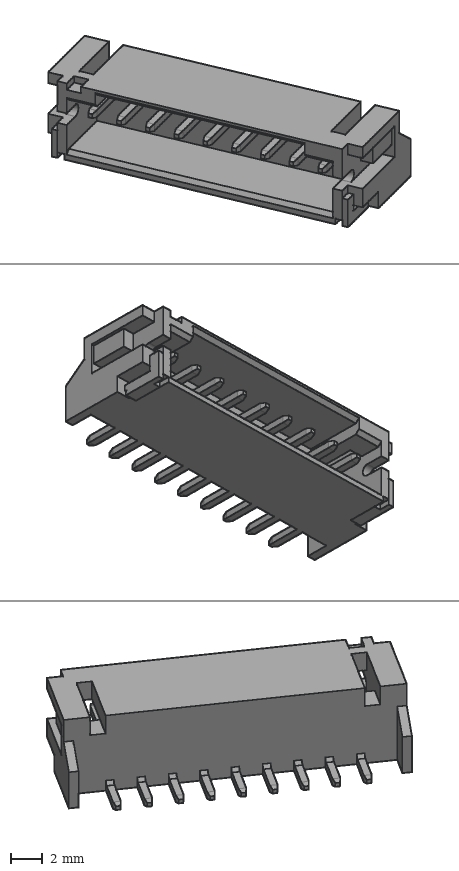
import cadquery as cq

WIDTH = 21.9
HEIGHT = 5.5
OVERALL_DEPTH = 8.6
BODY_DEPTH = 6.0
HALF_WIDTH = WIDTH / 2

END_STEP = 1.03
STEP_DEPTH = 0.79
STEP_X = HALF_WIDTH - END_STEP

CAVITY_HALF_WIDTH = 9.26
CAVITY_DEPTH = 4.3
CAVITY_FLOOR_Z = 0.68
CAVITY_CEILING_Z = 5.02
CORNER_HALF_WIDTH = 7.3
CORNER_CEILING_Z = 4.18
ENTRY_CHAMFER = 0.28

SLOT_WIDTH = 0.99
SLOT_FRONT_Y = 1.77
KEY_DEPTH = 1.05
KEY_HEIGHT = 0.45

RECESS_BOTTOM_Z = 2.52
RECESS_TOP_Z = 4.7
RECESS_BACK_Y = 5.32
LOCK_FRONT_Y = 2.65
LOCK_BOTTOM_Z = 3.35
LOCK_INSET = 0.2
WALL_SLOT_HEIGHT = LOCK_BOTTOM_Z - RECESS_BOTTOM_Z
WALL_SLOT_DEPTH = 1.66

PLATE_THICKNESS = 0.61
PLATE_BACK_Y = 7.65
PLATE_SLOPE_TOP_Z = 3.9
PLATE_SLOPE_BOTTOM_Z = 2.65

POCKET_DEPTH = 3.02
POCKET_HEIGHT = 1.18

TAB_INSET = 0.64
TAB_THICKNESS = END_STEP - TAB_INSET
TAB_HEIGHT = 1.97
TAB_ARM_HEIGHT = 0.79
FOOT_WIDTH = 0.88
FOOT_BACK_Y = 2.91
FOOT_X = HALF_WIDTH - TAB_INSET - FOOT_WIDTH

PIN_COUNT = 9
PIN_SPAN = 16.0
PIN_PITCH = PIN_SPAN / (PIN_COUNT - 1)
PIN_SIZE = 0.5
TIP_SIZE = 0.28
TIP_LENGTH = 0.4
PIN_Z = 3.1
PIN_FRONT_Y = 0.77
TAIL_BEND_Y = 6.25
OVERLAP = 0.22


def box(x_range, y_range, z_range):
    """Axis-aligned block between pairs of X, Y and Z limits."""
    x0, x1 = x_range
    y0, y1 = y_range
    z0, z1 = z_range
    return cq.Workplane("XY").box(x1 - x0, y1 - y0, z1 - z0, centered=False).translate((x0, y0, z0))


def side_prism(points, x0, x1):
    """Outline in Y and Z, extruded along X from x0 to x1."""
    return cq.Workplane("YZ", origin=(x0, 0, 0)).polyline(points).close().extrude(x1 - x0)


def both_ends(shape):
    """The right-hand shape and its left-hand mirror image."""
    return [shape, shape.mirror("YZ")]


def tapered_tip(x, y, z, direction):
    """Pin tip that narrows along +Y (direction 1) or -Y (direction -1)."""
    plane = cq.Plane(origin=(x, y, z), xDir=(1, 0, 0), normal=(0, direction, 0))
    base = cq.Workplane(plane).rect(PIN_SIZE, PIN_SIZE)
    return base.workplane(offset=TIP_LENGTH).rect(TIP_SIZE, TIP_SIZE).loft(ruled=True)


def cavity_part(half_width, ceiling_z):
    """Cavity space of one height, with chamfered floor and ceiling edges at the mating face."""
    outline = [
        (0, CAVITY_FLOOR_Z - ENTRY_CHAMFER),
        (ENTRY_CHAMFER, CAVITY_FLOOR_Z),
        (CAVITY_DEPTH, CAVITY_FLOOR_Z),
        (CAVITY_DEPTH, ceiling_z),
        (ENTRY_CHAMFER, ceiling_z),
        (0, ceiling_z + ENTRY_CHAMFER),
    ]
    return side_prism(outline, -half_width, half_width)


def end_cutouts():
    """Everything removed from the right-hand end of the housing."""
    end_x = (STEP_X, HALF_WIDTH)
    slot_x = (CAVITY_HALF_WIDTH - SLOT_WIDTH, CAVITY_HALF_WIDTH)
    corner_step = box(end_x, (0, STEP_DEPTH), (0, HEIGHT))
    recess = box(end_x, (0, RECESS_BACK_Y), (RECESS_BOTTOM_Z, RECESS_TOP_Z))
    lock = box(
        (STEP_X, HALF_WIDTH - LOCK_INSET), (LOCK_FRONT_Y, RECESS_BACK_Y), (LOCK_BOTTOM_Z, RECESS_TOP_Z)
    )
    top_slot = box(slot_x, (SLOT_FRONT_Y, BODY_DEPTH), (CORNER_CEILING_Z, HEIGHT))
    tab_pocket = box(end_x, (0, POCKET_DEPTH), (0, POCKET_HEIGHT))
    foot_pocket = box((FOOT_X, HALF_WIDTH), (0, FOOT_BACK_Y), (0, TAB_THICKNESS))
    return [corner_step, recess.cut(lock), wall_slot(), top_slot, tab_pocket, foot_pocket]


def wall_slot():
    """Round-ended slot through the cavity end wall, open at the mating face."""
    radius = WALL_SLOT_HEIGHT / 2
    straight = WALL_SLOT_DEPTH - radius
    return (
        cq.Workplane("YZ", origin=(CAVITY_HALF_WIDTH, 0, 0))
        .moveTo(0, RECESS_BOTTOM_Z)
        .lineTo(straight, RECESS_BOTTOM_Z)
        .threePointArc((WALL_SLOT_DEPTH, RECESS_BOTTOM_Z + radius), (straight, LOCK_BOTTOM_Z))
        .lineTo(0, LOCK_BOTTOM_Z)
        .close()
        .extrude(STEP_X - CAVITY_HALF_WIDTH)
    )


def rear_plate():
    """Right-hand plate that extends behind the rear wall, with a sloping top."""
    outline = [
        (BODY_DEPTH, 0),
        (PLATE_BACK_Y, 0),
        (PLATE_BACK_Y, PLATE_SLOPE_BOTTOM_Z),
        (BODY_DEPTH, PLATE_SLOPE_TOP_Z),
    ]
    return side_prism(outline, HALF_WIDTH - PLATE_THICKNESS, HALF_WIDTH)


def contact(x):
    """Mating pin and solder tail of one contact, both rooted in the rear wall."""
    pin_x = (x - PIN_SIZE / 2, x + PIN_SIZE / 2)
    pin_start = PIN_FRONT_Y + TIP_LENGTH
    tail_end = OVERALL_DEPTH - TIP_LENGTH
    tail_root = BODY_DEPTH - OVERLAP
    tail_rise = TAIL_BEND_Y - tail_root
    pin = box(pin_x, (pin_start, CAVITY_DEPTH + OVERLAP), (PIN_Z - PIN_SIZE / 2, PIN_Z + PIN_SIZE / 2))
    tail_outline = [
        (tail_root, 0),
        (tail_end, 0),
        (tail_end, PIN_SIZE),
        (TAIL_BEND_Y, PIN_SIZE),
        (tail_root, PIN_SIZE + tail_rise),
    ]
    tail = side_prism(tail_outline, *pin_x)
    pin_tip = tapered_tip(x, pin_start, PIN_Z, -1)
    tail_tip = tapered_tip(x, tail_end, PIN_SIZE / 2, 1)
    return [pin, pin_tip, tail, tail_tip]


def make_housing():
    """Connector housing in one piece with its row of contacts."""
    body = box((-HALF_WIDTH, HALF_WIDTH), (0, BODY_DEPTH), (0, HEIGHT))
    body = body.cut(cavity_part(CAVITY_HALF_WIDTH, CORNER_CEILING_Z))
    body = body.cut(cavity_part(CORNER_HALF_WIDTH, CAVITY_CEILING_Z))
    for cutout in end_cutouts():
        for copy in both_ends(cutout):
            body = body.cut(copy)

    key_x = (-CAVITY_HALF_WIDTH, -CAVITY_HALF_WIDTH + SLOT_WIDTH)
    body = body.cut(box(key_x, (0, KEY_DEPTH), (HEIGHT - KEY_HEIGHT, HEIGHT)))

    for plate in both_ends(rear_plate()):
        body = body.union(plate)
    for index in range(PIN_COUNT):
        x = index * PIN_PITCH - PIN_SPAN / 2
        for piece in contact(x):
            body = body.union(piece)
    return body


def make_solder_tab():
    """Right-hand sheet-metal tab: an L-shaped plate with a foot bent under the housing."""
    outline = [
        (0, 0),
        (FOOT_BACK_Y, 0),
        (FOOT_BACK_Y, TAB_THICKNESS),
        (POCKET_DEPTH, TAB_THICKNESS),
        (POCKET_DEPTH, TAB_ARM_HEIGHT),
        (STEP_DEPTH, TAB_ARM_HEIGHT),
        (STEP_DEPTH, TAB_HEIGHT),
        (0, TAB_HEIGHT),
    ]
    plate = side_prism(outline, STEP_X, STEP_X + TAB_THICKNESS)
    foot = box((FOOT_X, STEP_X), (STEP_DEPTH, FOOT_BACK_Y), (0, TAB_THICKNESS))
    return plate.union(foot)


housing = make_housing()
solder_tabs = both_ends(make_solder_tab())

result = cq.Compound.makeCompound([housing.val(), *[tab.val() for tab in solder_tabs]])